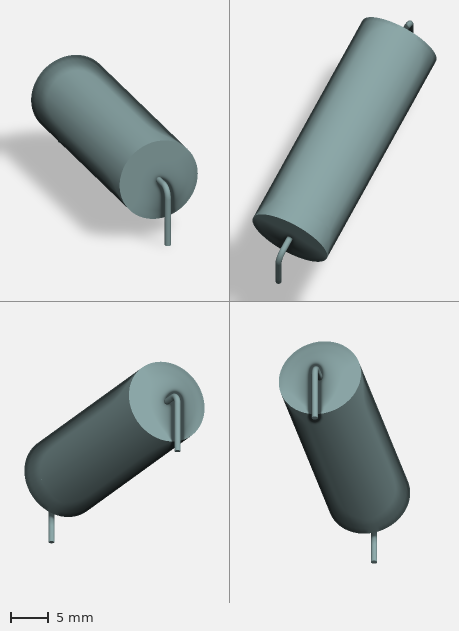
import cadquery as cq

overall_length = 39.05
case_diameter = 11.17
case_length = 31.7
case_radius = case_diameter / 2

band_offset = 2.42
band_width = 1.52
band_depth = 0.1
band_start = -case_length / 2 + band_offset

lead_diameter = 0.82
lead_radius = lead_diameter / 2
bend_radius = 1.4
lead_drop = 8.12
lead_x = overall_length / 2 - lead_radius


def make_band():
    """Thin ring around the case near its -X end."""
    return (
        cq.Workplane("YZ", origin=(band_start, 0, 0))
        .circle(case_radius)
        .circle(case_radius - band_depth)
        .extrude(band_width)
    )


def make_case():
    """Cylindrical case with a groove that holds the band."""
    cylinder = cq.Workplane("YZ").circle(case_radius).extrude(case_length / 2, both=True)
    return cylinder.cut(make_band())


def make_lead(side):
    """Round wire from the case end face (side = -1 or +1), bent down to its tip."""
    face_x = side * case_length / 2
    bend_start_x = side * (lead_x - bend_radius)
    path = (
        cq.Workplane("XZ")
        .moveTo(face_x, 0)
        .lineTo(bend_start_x, 0)
        .tangentArcPoint((side * lead_x, -bend_radius), relative=False)
        .lineTo(side * lead_x, -lead_drop)
    )
    return cq.Workplane("YZ", origin=(face_x, 0, 0)).circle(lead_radius).sweep(path)


case = make_case()
band = make_band()
leads = [make_lead(side) for side in (-1, 1)]

result = cq.Compound.makeCompound([case.val(), band.val(), *[lead.val() for lead in leads]])